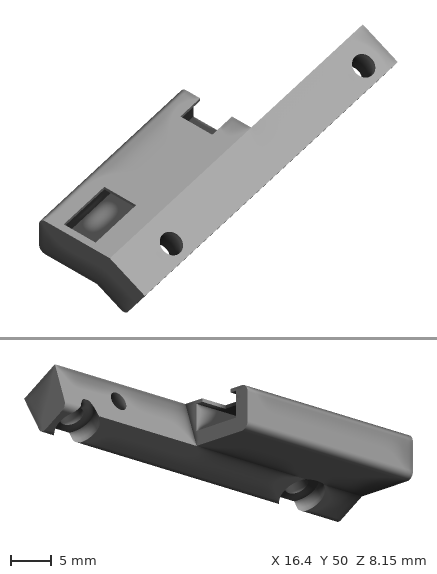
import cadquery as cq
import math

length = 50.0
bend_x = 11.0
total_width = 16.45
slope_angle = 30.0
rail_thickness = 6.1
rail_corner_radius = 0.75

arm_length = 27.95
arm_height = 5.9
arm_edge_radius = 1.0

front_wall = 1.0
roof_thickness = 0.45
cavity_left = 2.0
cavity_right = 9.05
cavity_floor_depth = 3.95
slot_left = 3.05
slot_right = 8.0
bridge_front = 9.0
bridge_rear = 24.05

screw_diameter = 3.1
screw_positions = (8.0, 46.0)
screw_edge_distance = 2.5
counterbore_diameter = 6.0
counterbore_depth = 2.0

side_hole_diameter = 2.5
side_hole_y = 40.1
side_hole_mouth_depth = 2.7

rear_edge_radius = 1.0

sine = math.sin(math.radians(slope_angle))
cosine = math.cos(math.radians(slope_angle))
slope_length = (total_width - bend_x) / cosine


def slope_point(along, depth):
    """XZ point at a distance along the slope and a depth square to it."""
    return (
        bend_x + along * cosine - depth * sine,
        -along * sine - depth * cosine,
    )


lower_bend_along = (arm_height - rail_thickness * cosine) / sine
lower_bend = slope_point(lower_bend_along, rail_thickness)


def extrude_profile(points, depth):
    """Extrude an XZ outline from y = 0 towards +Y."""
    return cq.Workplane("XZ").polyline(points).close().extrude(-depth)


def block(x_range, y_range, z_range):
    """Axis-aligned box between pairs of limits."""
    sizes = [high - low for low, high in (x_range, y_range, z_range)]
    corner = (x_range[0], y_range[0], z_range[0])
    return cq.Workplane("XY").box(*sizes, centered=False).translate(corner)


def make_rail():
    outline = [
        (bend_x, 0),
        slope_point(slope_length, 0),
        slope_point(slope_length, rail_thickness),
        lower_bend,
    ]
    rail = extrude_profile(outline, length)
    return rail.edges("|Y").edges("<Z").fillet(rail_corner_radius)


def make_arm():
    outline = [(0, 0), (bend_x, 0), lower_bend, (0, -arm_height)]
    arm = extrude_profile(outline, arm_length)
    return arm.faces("<X").edges("|Y").fillet(arm_edge_radius)


def make_cavity():
    slot = (slot_left, slot_right)
    roof = (-roof_thickness, 0)
    hollow = block(
        (cavity_left, cavity_right),
        (front_wall, arm_length),
        (-cavity_floor_depth, -roof_thickness),
    )
    front_window = block(slot, (front_wall, bridge_front), roof)
    rear_notch = block(slot, (bridge_rear, arm_length), roof)
    return hollow.union(front_window).union(rear_notch)


def make_screw_hole(y):
    """Through hole and counterbore, the latter breaking out of the rail's sides."""
    along = slope_length - screw_edge_distance
    x, z = slope_point(along, 0)
    axis = cq.Vector(-sine, 0, -cosine)
    top = cq.Vector(x, y, z)
    seat = top + axis * (rail_thickness - counterbore_depth)
    hole = cq.Solid.makeCylinder(screw_diameter / 2, rail_thickness, top, axis)
    counterbore = cq.Solid.makeCylinder(counterbore_diameter / 2, 2 * counterbore_depth, seat, axis)
    return cq.Workplane(hole.fuse(counterbore))


def make_side_hole():
    mitre_run = (bend_x - lower_bend[0]) / arm_height
    mouth_x = bend_x - side_hole_mouth_depth * mitre_run
    mouth = cq.Vector(mouth_x, side_hole_y, -side_hole_mouth_depth)
    axis = cq.Vector(cosine, 0, -sine)
    start = mouth - axis * side_hole_diameter
    depth = slope_length + 2 * side_hole_diameter
    return cq.Workplane(cq.Solid.makeCylinder(side_hole_diameter / 2, depth, start, axis))


def round_rear_edge(body):
    """Round the lower bend edge between the rear counterbore and the rear end."""
    rear_edge_point = (lower_bend[0], length, lower_bend[1])
    edge = body.edges("|Y").edges(cq.selectors.NearestToPointSelector(rear_edge_point))
    return edge.fillet(rear_edge_radius)


body = make_rail().union(make_arm())
body = body.cut(make_cavity())
for screw_y in screw_positions:
    body = body.cut(make_screw_hole(screw_y))
body = body.cut(make_side_hole())
result = round_rear_edge(body)